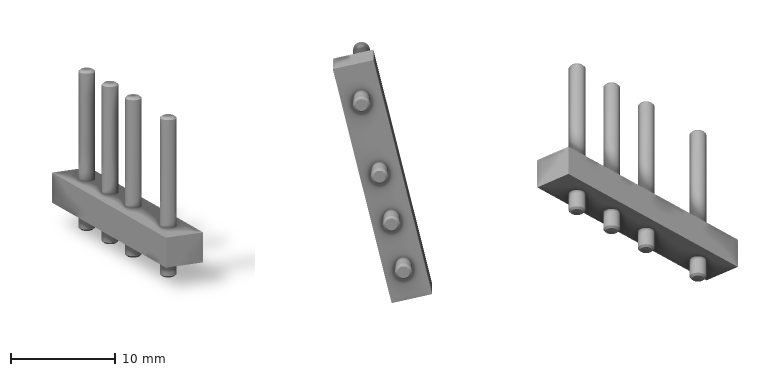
import cadquery as cq

body_length = 24.5
body_width = 4.0
body_height = 3.0

pin_diameter = 1.6
pin_above_body = 11.0
pin_below_body = 2.0
pin_chamfer = 0.2

first_pin_inset = 3.5
pin_pitch = 5.0
wide_gap = 7.5
even_pin_count = 3

pin_positions = [first_pin_inset + i * pin_pitch for i in range(even_pin_count)]
pin_positions.append(pin_positions[-1] + wide_gap)


def make_body():
    """Rectangular bar resting on Z = 0, centred on the origin in X and Y."""
    return cq.Workplane("XY").box(body_length, body_width, body_height, centered=(True, True, False))


def make_pin(inset):
    """Straight pin, chamfered at both ends, at a distance from the -X end of the body."""
    pin_length = pin_below_body + body_height + pin_above_body
    return (
        cq.Workplane("XY", origin=(inset - body_length / 2, 0, -pin_below_body))
        .circle(pin_diameter / 2)
        .extrude(pin_length)
        .faces("<Z or >Z")
        .chamfer(pin_chamfer)
    )


result = make_body()
for position in pin_positions:
    result = result.union(make_pin(position))